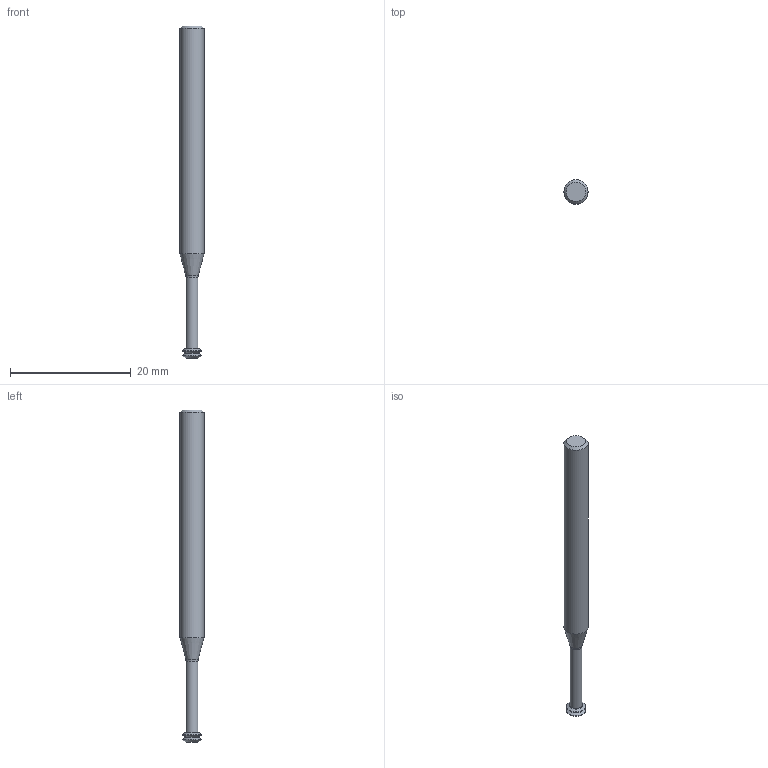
import cadquery as cq
import math

total_length = 55.0
shank_diameter = 4.0
neck_diameter = 1.98

shank_chamfer = 0.4

taper_top = 17.3
taper_half_angle = 15.0
blend_radius = 1.0

tooth_count = 2
tooth_pitch = 0.8
tooth_crest_diameter = 3.24
tooth_root_diameter = 2.32
tooth_crest_width = 0.08
tooth_flank_angle = 30.0
first_crest_height = 0.39

tip_diameter = neck_diameter

shank_radius = shank_diameter / 2
neck_radius = neck_diameter / 2
crest_radius = tooth_crest_diameter / 2
root_radius = tooth_root_diameter / 2
tip_radius = tip_diameter / 2
flank_height = (crest_radius - root_radius) * math.tan(math.radians(tooth_flank_angle))


def blend_point(angle):
    """Point on the taper blend, where its slope is the given angle from the axis."""
    taper_angle = math.radians(taper_half_angle)
    sharp_corner_height = taper_top - (shank_radius - neck_radius) / math.tan(taper_angle)
    blend_start_height = sharp_corner_height - blend_radius * math.tan(taper_angle / 2)
    slope = math.radians(angle)
    radius = neck_radius + blend_radius * (1 - math.cos(slope))
    height = blend_start_height + blend_radius * math.sin(slope)
    return (radius, height)


def add_teeth(profile):
    """Run the profile from the tip over every tooth to the top root edge."""
    for index in range(tooth_count):
        crest_middle = first_crest_height + index * tooth_pitch
        crest_bottom = crest_middle - tooth_crest_width / 2
        crest_top = crest_middle + tooth_crest_width / 2
        if index > 0:
            profile = profile.lineTo(root_radius, crest_bottom - flank_height)
        profile = profile.lineTo(crest_radius, crest_bottom)
        profile = profile.lineTo(crest_radius, crest_top)
        profile = profile.lineTo(root_radius, crest_top + flank_height)
    return profile


def add_neck(profile):
    """Step in from the last tooth and run up the neck to the end of the blend."""
    last_crest_height = first_crest_height + (tooth_count - 1) * tooth_pitch
    head_top = last_crest_height + tooth_crest_width / 2 + flank_height
    return (
        profile
        .lineTo(neck_radius, head_top)
        .lineTo(*blend_point(0))
        .threePointArc(blend_point(taper_half_angle / 2), blend_point(taper_half_angle))
    )


def add_shank(profile):
    """Run up the taper and the shank, then over the chamfer to the axis."""
    return (
        profile
        .lineTo(shank_radius, taper_top)
        .lineTo(shank_radius, total_length - shank_chamfer)
        .lineTo(shank_radius - shank_chamfer, total_length)
        .lineTo(0, total_length)
    )


half_profile = cq.Workplane("XZ").moveTo(0, 0).lineTo(tip_radius, 0)
half_profile = add_teeth(half_profile)
half_profile = add_neck(half_profile)
half_profile = add_shank(half_profile).close()
result = half_profile.revolve(360, (0, 0, 0), (0, 1, 0))